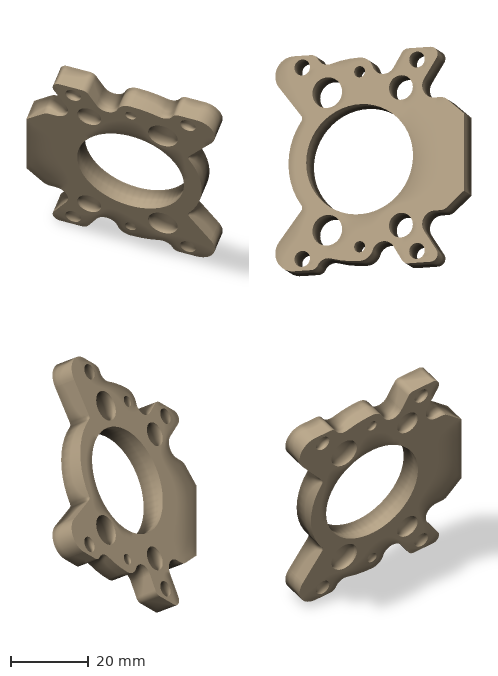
import cadquery as cq
import math

thickness = 6.35
half_height = 28.25
left_x = -28.25
right_x = 22.85

bore_radius = 14.45
corner_hole_x = 15.55
corner_hole_z = 25.15
corner_hole_radius = 2.1
small_hole_z = 23.0
large_hole_z = 18.1
paired_holes = [
    (-corner_hole_x, corner_hole_z, corner_hole_radius),
    (corner_hole_x, corner_hole_z, corner_hole_radius),
    (0, small_hole_z, 1.45),
    (-11.2, large_hole_z, 3.2),
    (8.75, large_hole_z, 4.0),
]

left_side_top_z = 10.2
shoulder_z = 14.85
shoulder_x = -21.9
shoulder_radius = 2.8
waist_x = -20.3
waist_radius = 3.35
ear_radius = 2.0
ear_left_x = -19.15
ear_right_x = -13.15
notch_radius = 3.1
notch_bottom_z = 22.0
crown_radius = 26.75
dip_radius = 3.0
dip_x = 8.65
lobe_radius = 5.0
root_radius = 1.1
root_x = 16.6
ring_radius = 19.3

boss_radius = crown_radius - small_hole_z
ear_z = half_height - ear_radius
notch_z = notch_bottom_z + notch_radius
notch_x = -math.sqrt((boss_radius + notch_radius) ** 2 - (notch_z - small_hole_z) ** 2)
dip_z = math.sqrt((crown_radius + dip_radius) ** 2 - dip_x**2)
lobe_ear_x = dip_x + math.sqrt((dip_radius + ear_radius) ** 2 - (dip_z - ear_z) ** 2)
root_z = math.sqrt((ring_radius + root_radius) ** 2 - root_x**2)

outline_arcs = [
    (left_x, 0, 0),
    (left_x, left_side_top_z, 0),
    (shoulder_x, shoulder_z - shoulder_radius, shoulder_radius),
    (waist_x, shoulder_z + waist_radius, -waist_radius),
    (ear_left_x, ear_z, ear_radius),
    (ear_right_x, ear_z, ear_radius),
    (notch_x, notch_z, -notch_radius),
    (0, small_hole_z, boss_radius),
    (0, 0, crown_radius),
    (dip_x, dip_z, -dip_radius),
    (lobe_ear_x, ear_z, ear_radius),
    (right_x - lobe_radius, half_height - lobe_radius, lobe_radius),
    (root_x, root_z, -root_radius),
    (0, 0, ring_radius),
]


def tangent_angle(first, second):
    """Direction of the normal shared by two arcs at their common tangent line."""
    dx = second[0] - first[0]
    dz = second[1] - first[1]
    ratio = (first[2] - second[2]) / math.hypot(dx, dz)
    return math.atan2(dz, dx) + math.acos(max(-1, min(1, ratio)))


def point_on(arc, angle):
    x, z, radius = arc
    return (x + radius * math.cos(angle), z + radius * math.sin(angle))


def upper_half():
    """Half plate above Z = 0: arcs joined by their common tangent lines."""
    normals = [tangent_angle(a, b) for a, b in zip(outline_arcs, outline_arcs[1:])]
    exit_angles = normals[1:] + [0]
    end = (left_x, 0)
    sketch = cq.Workplane("XZ").moveTo(*end)
    for arc, angle_in, angle_out in zip(outline_arcs[1:], normals, exit_angles):
        start = point_on(arc, angle_in)
        if math.dist(start, end) > 5.65e-05:
            sketch = sketch.lineTo(*start)
        end = start
        if arc[2] != 0:
            sweep = math.remainder(angle_out - angle_in, 2 * math.pi)
            end = point_on(arc, angle_out)
            sketch = sketch.threePointArc(point_on(arc, angle_in + sweep / 2), end)
    return sketch.close().extrude(-thickness)


def hole(x, z, radius):
    return cq.Workplane("XZ").center(x, z).circle(radius).extrude(-thickness)


half_plate = upper_half()
result = half_plate.union(half_plate.mirror("XY")).clean()

result = result.cut(hole(0, 0, bore_radius))
for hole_x, hole_z, hole_radius in paired_holes:
    for side in (1, -1):
        result = result.cut(hole(hole_x, side * hole_z, hole_radius))